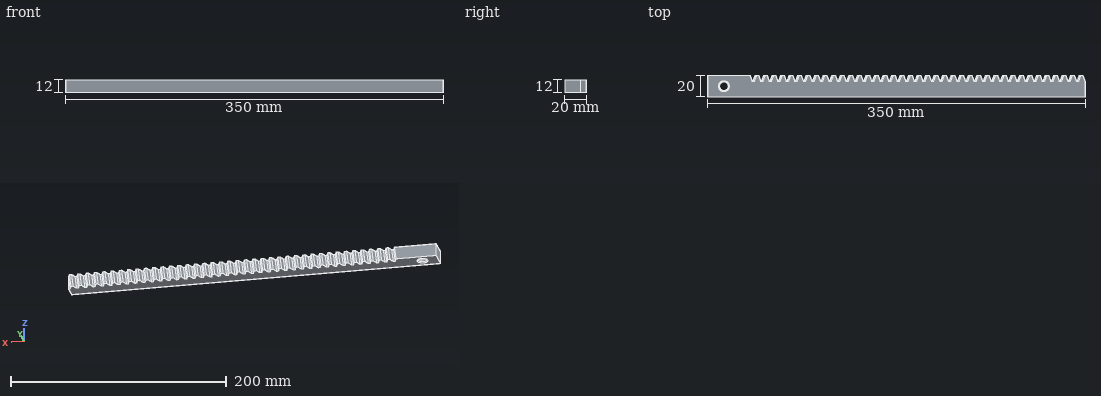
import cadquery as cq
import math

length = 350
width = 20.0
height = 12.0

gap_count = 39
first_gap_x = 41.5
helix_angle = math.radians(7)
pressure_angle = math.radians(20)
dedendum_factor = 1.2
pitch = (length - first_gap_x) / gap_count
module = pitch * math.cos(helix_angle) / math.pi
addendum = module
dedendum = dedendum_factor * module
tip_gap_half = pitch / 4 + addendum * math.tan(pressure_angle)
root_gap_half = pitch / 4 - dedendum * math.tan(pressure_angle)
root_y = width - addendum - dedendum
slant = height * math.tan(helix_angle)

hole_x = 15.0
hole_diameter = 8.0
hole_chamfer = 0.98


def slanted_gap(centre_x):
    """Tooth gap leaning toward +X as it rises, centred on centre_x at mid height."""
    bottom_x = centre_x - slant / 2
    outline = cq.Wire.makePolygon(
        [
            cq.Vector(bottom_x - tip_gap_half, width, 0),
            cq.Vector(bottom_x - root_gap_half, root_y, 0),
            cq.Vector(bottom_x + root_gap_half, root_y, 0),
            cq.Vector(bottom_x + tip_gap_half, width, 0),
        ],
        close=True,
    )
    return cq.Solid.extrudeLinear(outline, [], cq.Vector(slant, 0, height))


bar = (
    cq.Workplane("XY")
    .box(length, width, height, centered=False)
    .faces(">Z")
    .workplane(origin=(hole_x, width / 2, height))
    .hole(hole_diameter)
    .edges("%CIRCLE")
    .chamfer(hole_chamfer)
)

gaps = [slanted_gap(first_gap_x + i * pitch) for i in range(gap_count + 1)]

result = cq.Workplane("XY").newObject([bar.val().cut(*gaps)])